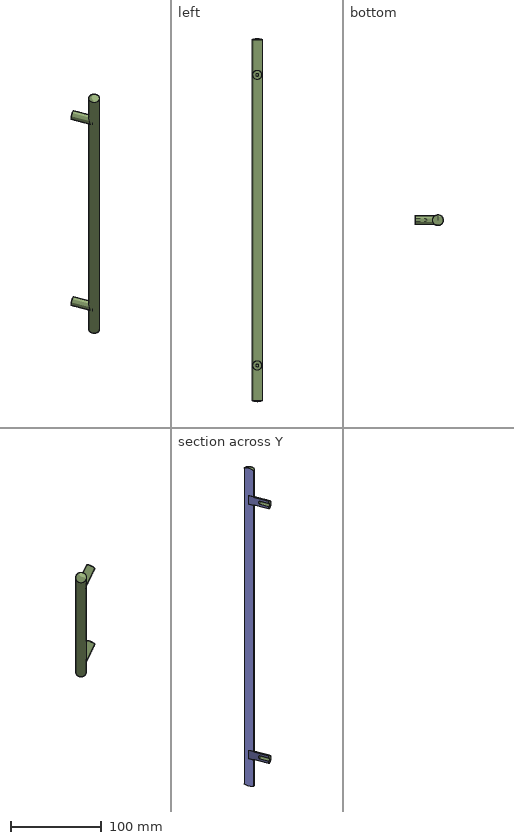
import cadquery as cq
import math

bar_length = 400.0
bar_diameter = 12.0
dome_height = 1.4
bar_radius = bar_diameter / 2
half_length = bar_length / 2
shoulder_z = half_length - dome_height

post_diameter = 10.0
post_spacing = 320.0
overall_depth = 31.0
post_reach = overall_depth - bar_radius

hole_diameter = 3.25
hole_depth = 12.0
drill_point_angle = 118.0
hole_radius = hole_diameter / 2
drill_point_length = hole_radius / math.tan(math.radians(drill_point_angle / 2))


def make_bar():
    """Round bar with a spherical cap at each end, revolved about Z."""
    dome_radius = (bar_radius**2 + dome_height**2) / (2 * dome_height)
    half_angle = math.asin(bar_radius / dome_radius) / 2
    mid_r = dome_radius * math.sin(half_angle)
    mid_z = half_length - dome_radius * (1 - math.cos(half_angle))
    return (
        cq.Workplane("XZ")
        .moveTo(0, -half_length)
        .threePointArc((mid_r, -mid_z), (bar_radius, -shoulder_z))
        .lineTo(bar_radius, shoulder_z)
        .threePointArc((mid_r, mid_z), (0, half_length))
        .close()
        .revolve(360, (0, 0, 0), (0, 1, 0))
    )


def make_drilled_hole(z):
    """Cutter for a blind hole with a conical drill point, along +X."""
    return (
        cq.Workplane("XY", origin=(-post_reach, 0, z))
        .lineTo(0, hole_radius)
        .lineTo(hole_depth, hole_radius)
        .lineTo(hole_depth + drill_point_length, 0)
        .close()
        .revolve(360, (0, 0, 0), (1, 0, 0))
    )


def make_post_blank(z):
    """Plain post at height z, running in to the bar axis."""
    return (
        cq.Workplane("YZ", origin=(-post_reach, 0, z))
        .circle(post_diameter / 2)
        .extrude(post_reach)
    )


bar = make_bar()
posts = []
for side in (1, -1):
    post_z = side * post_spacing / 2
    post_blank = make_post_blank(post_z)
    bar = bar.cut(post_blank)
    posts.append(post_blank.cut(make_drilled_hole(post_z)).val())

result = cq.Compound.makeCompound([bar.val(), *posts])